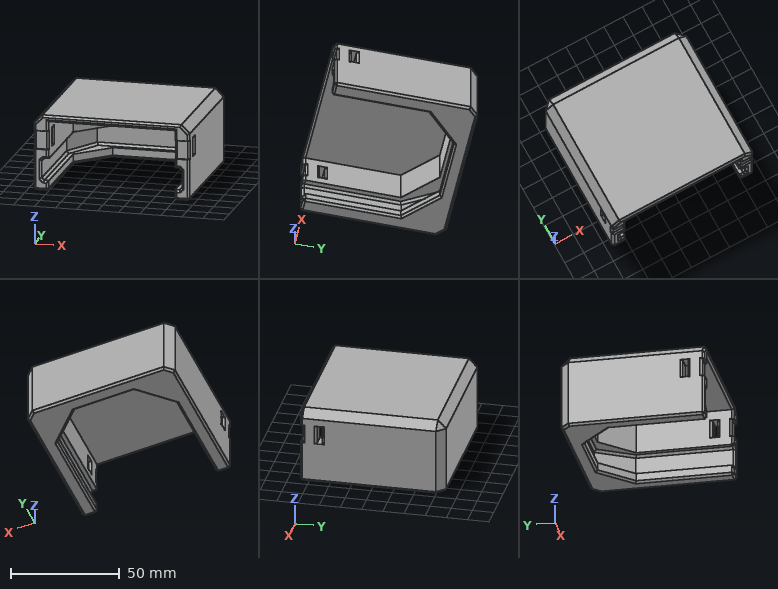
import cadquery as cq
import math

WIDTH = 74.0
DEPTH = 68.0
HEIGHT = 36.0
CORNER_CHAMFER = 4.0
EDGE_CHAMFER = 1.0

WALL = 7.0
ROOF = 3.0
CAVITY_CORNER = 15.0

GROOVE_DEPTH = 3.3
GROOVE_BOTTOM = 4.65
GROOVE_HEIGHT = 10.6
GROOVE_BEVEL = 1.2
GROOVE_CORNER_X = 10.15
GROOVE_CORNER_ANGLE = 60

STRAP_BOTTOM = 19.6
STRAP_HEIGHT = 8.8
STRAP_SETBACK = EDGE_CHAMFER
WINDOW_FRONT = 6.7
WINDOW_LENGTH = 4.6

CAVITY_WIDTH = WIDTH - 2 * WALL
CAVITY_DEPTH = DEPTH - WALL
HALF_WIDTH = WIDTH / 2
INNER_X = CAVITY_WIDTH / 2


def make_block():
    """Block with its front face on Y = 0 and its bottom on Z = 0."""
    block = cq.Workplane("XY").box(WIDTH, DEPTH, HEIGHT, centered=(True, False, False))
    return block.edges("(>Z and (not <Y)) or (>Y and |Z)").chamfer(CORNER_CHAMFER)


def pocket(width, depth, corner_x, corner_y, bottom, height):
    """Prism open to the front, with both back corners cut off at a slant."""
    outline = [
        (-width / 2, 0),
        (width / 2, 0),
        (width / 2, depth - corner_y),
        (width / 2 - corner_x, depth),
        (corner_x - width / 2, depth),
        (-width / 2, depth - corner_y),
    ]
    return cq.Workplane("XY").workplane(offset=bottom).polyline(outline).close().extrude(height)


def make_cavity():
    return pocket(CAVITY_WIDTH, CAVITY_DEPTH, CAVITY_CORNER, CAVITY_CORNER, 0, HEIGHT - ROOF)


def make_groove():
    corner_y = GROOVE_CORNER_X * math.tan(math.radians(GROOVE_CORNER_ANGLE))
    groove = pocket(
        CAVITY_WIDTH + 2 * GROOVE_DEPTH,
        CAVITY_DEPTH + GROOVE_DEPTH,
        GROOVE_CORNER_X,
        corner_y,
        GROOVE_BOTTOM,
        GROOVE_HEIGHT,
    )
    return groove.faces("<Z or >Z").edges("not <Y").chamfer(GROOVE_BEVEL)


def strap_prism(outline):
    """Cutter for the right wall, spanning the height of the strap loop."""
    return cq.Workplane("XY").workplane(offset=STRAP_BOTTOM).polyline(outline).close().extrude(STRAP_HEIGHT)


def make_setback():
    """Moves the chamfered front edge of the wall back by STRAP_SETBACK."""
    chamfer_end = STRAP_SETBACK + EDGE_CHAMFER
    return strap_prism([
        (INNER_X, 0),
        (INNER_X, chamfer_end),
        (INNER_X + EDGE_CHAMFER, STRAP_SETBACK),
        (HALF_WIDTH - EDGE_CHAMFER, STRAP_SETBACK),
        (HALF_WIDTH, chamfer_end),
        (HALF_WIDTH, 0),
    ])


def make_window():
    """Opening through the wall, flared by 45 degrees on both sides."""
    window_back = WINDOW_FRONT + WINDOW_LENGTH
    return strap_prism([
        (INNER_X, WINDOW_FRONT),
        (INNER_X + EDGE_CHAMFER, WINDOW_FRONT + EDGE_CHAMFER),
        (HALF_WIDTH - EDGE_CHAMFER, WINDOW_FRONT + EDGE_CHAMFER),
        (HALF_WIDTH, WINDOW_FRONT),
        (HALF_WIDTH, window_back),
        (HALF_WIDTH - EDGE_CHAMFER, window_back - EDGE_CHAMFER),
        (INNER_X + EDGE_CHAMFER, window_back - EDGE_CHAMFER),
        (INNER_X, window_back),
    ])


shell = make_block().cut(make_cavity()).cut(make_groove())
shell = shell.faces("<Y or <Z").edges().chamfer(EDGE_CHAMFER)

for cutter in (make_setback(), make_window()):
    shell = shell.cut(cutter).cut(cutter.mirror("YZ"))

result = shell